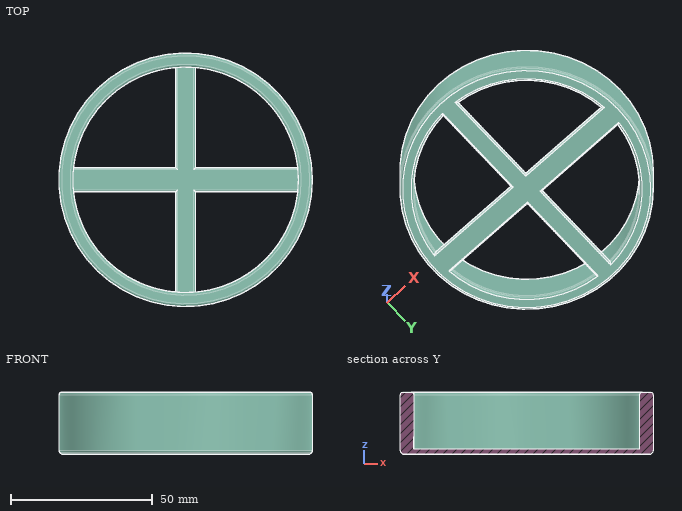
import cadquery as cq

outer_diameter = 89.5
inner_diameter = 79.5
ring_height = 22.0
ring_edge_radius = 1.0
ring_base_chamfer = 1.0

x_bar_width = 8.5
y_bar_width = 7.0
bar_thickness = 2.0
bar_edge_radius = 0.7
bar_base_chamfer = 0.5

wall_middle_diameter = (inner_diameter + outer_diameter) / 2


def rounded_section(left, right, height, base_chamfer, edge_radius):
    """Rectangle on the base line: lower corners chamfered, corners above the base rounded."""
    corners = [
        (left, height),
        (left, base_chamfer),
        (left + base_chamfer, 0),
        (right - base_chamfer, 0),
        (right, base_chamfer),
        (right, height),
    ]
    outline = cq.Sketch().polygon(corners + corners[:1])
    return outline.vertices("not <Y").fillet(edge_radius)


def make_ring():
    """Wall section revolved about Z."""
    section = rounded_section(
        inner_diameter / 2, outer_diameter / 2, ring_height, ring_base_chamfer, ring_edge_radius
    )
    return cq.Workplane("XZ").placeSketch(section).revolve(360, (0, 0, 0), (0, 1, 0))


def make_bar(plane, width):
    """Straight bar through the Z axis, its section drawn on the given upright plane."""
    section = rounded_section(
        -width / 2, width / 2, bar_thickness, bar_base_chamfer, bar_edge_radius
    )
    return cq.Workplane(plane).placeSketch(section).extrude(outer_diameter / 2, both=True)


def make_cross():
    """Two crossing bars with their ends cut round inside the ring wall."""
    bars = make_bar("YZ", x_bar_width).union(make_bar("XZ", y_bar_width))
    bounds = cq.Workplane("XY").circle(wall_middle_diameter / 2).extrude(bar_thickness)
    return bars.intersect(bounds)


result = make_ring().union(make_cross()).solids()